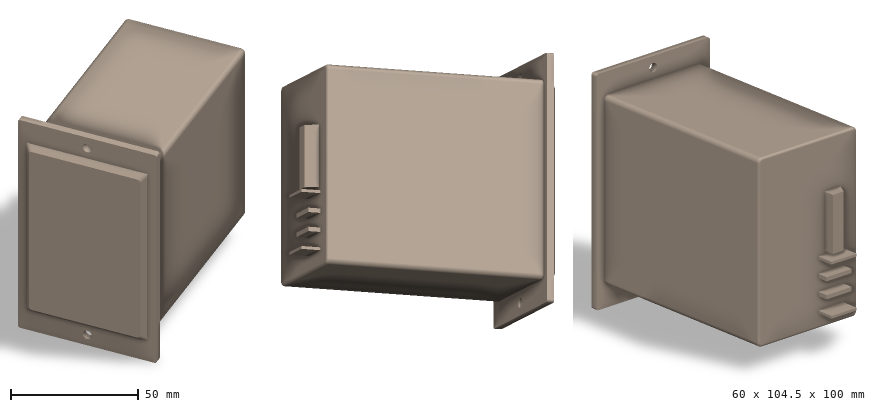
import cadquery as cq


total_depth = 104.5

flange_width = 60.0
flange_height = 100.0
flange_thickness = 3.0
flange_corner_radius = 1.0
screw_hole_diameter = 4.0
screw_hole_spacing = 90.0

body_width = 52.0
body_height = 80.0
body_edge_radius = 2.0
body_rear_radius = 1.0

cover_rim = 0.5
cover_slope = 2.0
cover_corner_radius = 2.0
cover_depth = cover_rim + cover_slope

tab_length = 7.9
tab_width = 13.3
tab_thickness = 1.1
pin_thickness = 1.8
terminal_pitch = 7.6
top_terminal_z = -10.0
terminal_center_x = -12.0

socket_depth = 5.0
socket_left_x = -17.2
socket_slant_width = 2.8
socket_right_x = -8.7
socket_top_z = 17.1
socket_height = 25.0

pin_length = socket_depth
body_depth = total_depth - cover_depth - flange_thickness - tab_length
rear_y = flange_thickness + body_depth


def block(width, depth, height, center_x, front_y, center_z):
    """Box centred in X and Z that runs back from front_y."""
    return cq.Workplane("XY").box(width, depth, height, centered=(True, False, True)).translate(
        (center_x, front_y, center_z)
    )


def make_flange():
    flange = block(flange_width, flange_thickness, flange_height, 0, 0, 0)
    flange = flange.edges("|Y").fillet(flange_corner_radius)
    hole_centers = [(0, screw_hole_spacing / 2), (0, -screw_hole_spacing / 2)]
    return flange.faces("<Y").workplane(origin=(0, 0, 0)).pushPoints(hole_centers).hole(screw_hole_diameter)


def make_body():
    body = block(body_width, body_depth, body_height, 0, flange_thickness, 0)
    return body.edges("|Y").fillet(body_edge_radius).faces(">Y").edges().fillet(body_rear_radius)


def make_cover():
    cover = block(body_width, cover_depth, body_height, 0, -cover_depth, 0)
    cover = cover.faces("<Y").chamfer(cover_slope)
    mitre_edges = cover.edges("not (|X or |Y or |Z)")
    return mitre_edges.fillet(cover_corner_radius)


def make_terminals():
    """Two long tabs with two shorter, thicker pins between them."""
    sections = [
        (tab_length, tab_thickness),
        (pin_length, pin_thickness),
        (pin_length, pin_thickness),
        (tab_length, tab_thickness),
    ]
    terminals = cq.Workplane("XY")
    for index, (length, thickness) in enumerate(sections):
        center_z = top_terminal_z - index * terminal_pitch
        terminals = terminals.add(block(tab_width, length, thickness, terminal_center_x, rear_y, center_z))
    return terminals.combine()


def make_socket():
    socket_rear_y = rear_y + socket_depth
    outline = [
        (socket_left_x, rear_y),
        (socket_left_x + socket_slant_width, socket_rear_y),
        (socket_right_x, socket_rear_y),
        (socket_right_x, rear_y),
    ]
    socket_bottom = cq.Workplane("XY", origin=(0, 0, socket_top_z - socket_height))
    return socket_bottom.polyline(outline).close().extrude(socket_height)


result = make_flange().union(make_body()).union(make_cover())
result = result.union(make_terminals()).union(make_socket())